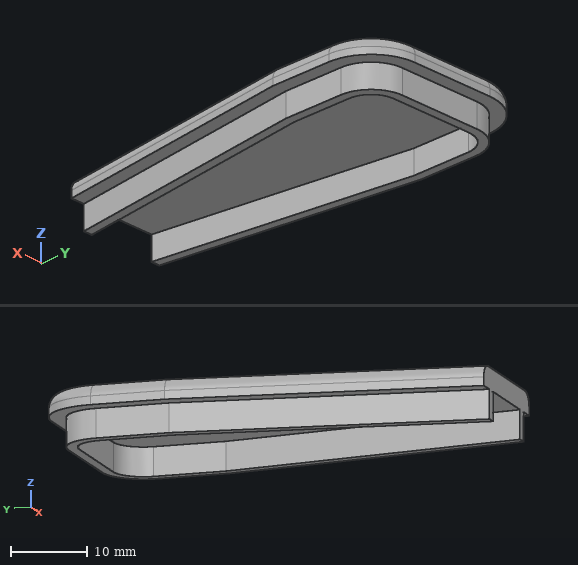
import cadquery as cq

length = 60.5
back_width = 30.0
front_width = 18.9
total_height = 7.0

lid_thickness = 3.0
edge_radius = 1.8
corner_radius = 8.0
straight_length = 18.2

skirt_inset = 2.3
wall_thickness = 1.5
skirt_height = total_height - lid_thickness

front_overrun = 6.05

back_y = length / 2
front_y = -length / 2
taper_y = back_y - straight_length
taper_slope = (back_width - front_width) / 2 / (taper_y - front_y)


def outline_prism(inset, bottom, height):
    """Extrude the tapered outline, moved inward by inset, up from bottom."""
    half_back = back_width / 2
    half_end = front_width / 2 - taper_slope * front_overrun
    end_y = front_y - front_overrun
    points = [
        (-half_end, end_y),
        (half_end, end_y),
        (half_back, taper_y),
        (half_back, back_y),
        (-half_back, back_y),
        (-half_back, taper_y),
    ]
    outline = cq.Workplane("XY").workplane(offset=bottom).polyline(points).close()
    if inset > 0:
        outline = outline.offset2D(-inset)
    prism = outline.extrude(height)
    return prism.edges("|Z and >Y").fillet(corner_radius - inset)


def make_lid():
    """Plate with a rounded upper rim."""
    lid = outline_prism(0, skirt_height, lid_thickness)
    return lid.faces(">Z").edges().fillet(edge_radius)


def make_skirt():
    """Wall that follows the outline around the sides and back."""
    outer = outline_prism(skirt_inset, 0, skirt_height)
    inner = outline_prism(skirt_inset + wall_thickness, 0, skirt_height)
    return outer.cut(inner)


trim_box = cq.Workplane("XY").box(
    back_width, length, total_height, centered=(True, True, False)
)
result = make_lid().union(make_skirt()).intersect(trim_box)